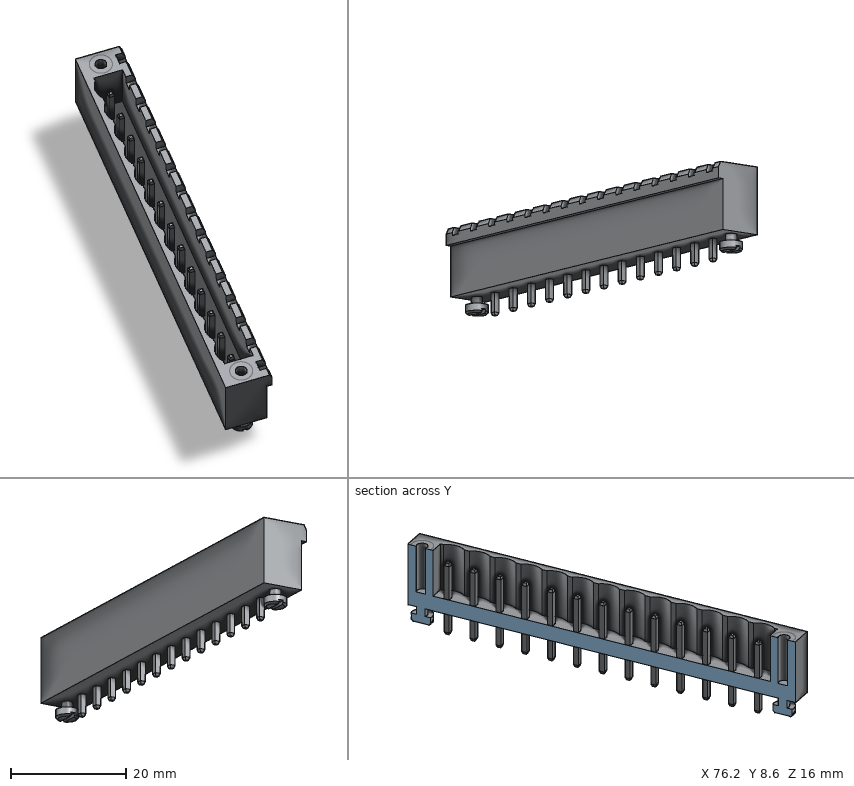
import cadquery as cq

pitch = 5.08
contact_count = 13
contact_xs = [(i - (contact_count - 1) / 2) * pitch for i in range(contact_count)]
flange_x = (contact_count + 1) / 2 * pitch
flange_xs = [-flange_x, flange_x]

length = (contact_count + 2) * pitch
height = 12.0
front_y = -3.8
depth = 8.6
back_y = front_y + depth
lip_overhang = 1.0
lip_height = 3.0
lip_chamfer_y = 0.5
lip_chamfer_z = 1.0

pocket_floor_z = 3.0
pocket_length = 66.2
pocket_front_y = -2.15
pocket_back_y = 3.1
scallop_chord = 4.1
scallop_depth = 0.7

notch_top_width = 2.0
notch_floor_width = 1.5
notch_depth = 1.5

pin_width = 1.0
pin_tail = 4.0
pin_top_z = 10.0
pin_chamfer_length = 0.5
pin_chamfer_inset = 0.2

insert_diameter = 4.0
bore_diameter = 2.0
bore_floor_z = pocket_floor_z
shank_diameter = 2.0
head_diameter = 4.0
head_top_z = -1.4
head_bottom_z = -3.0
head_chamfer = 0.35
slot_width = 0.8
slot_depth = 0.7


def make_housing():
    """Bar with a chamfered lip along the top of its back face."""
    wall_y = back_y - lip_overhang
    profile = (
        cq.Workplane("YZ")
        .moveTo(front_y, 0)
        .lineTo(wall_y, 0)
        .lineTo(wall_y, height - lip_height)
        .lineTo(back_y, height - lip_height)
        .lineTo(back_y, height - lip_chamfer_z)
        .lineTo(back_y - lip_chamfer_y, height)
        .lineTo(front_y, height)
        .close()
    )
    return profile.extrude(length / 2, both=True)


def make_pocket():
    """Open-topped pocket with one shallow scallop in its front wall per contact."""
    half = pocket_length / 2
    outline = (
        cq.Workplane("XY", origin=(0, 0, pocket_floor_z))
        .moveTo(half, pocket_back_y)
        .lineTo(-half, pocket_back_y)
        .lineTo(-half, pocket_front_y)
    )
    for x in contact_xs:
        outline = outline.lineTo(x - scallop_chord / 2, pocket_front_y).threePointArc(
            (x, pocket_front_y - scallop_depth),
            (x + scallop_chord / 2, pocket_front_y),
        )
    return outline.lineTo(half, pocket_front_y).close().extrude(height - pocket_floor_z)


def make_notch(x):
    """Tapered coding notch, open to the back and running forward to the pocket wall."""
    floor_z = height - notch_depth
    return (
        cq.Workplane("XZ", origin=(x, back_y, 0))
        .moveTo(-notch_top_width / 2, height)
        .lineTo(-notch_floor_width / 2, floor_z)
        .lineTo(notch_floor_width / 2, floor_z)
        .lineTo(notch_top_width / 2, height)
        .close()
        .extrude(back_y - pocket_back_y)
    )


def make_pin(x):
    """Square contact pin with a short taper at both ends."""
    tip_width = pin_width - 2 * pin_chamfer_inset
    straight_bottom_z = -pin_tail + pin_chamfer_length
    straight_top_z = pin_top_z - pin_chamfer_length
    pin = (
        cq.Workplane("XY", origin=(x, 0, straight_bottom_z))
        .rect(pin_width, pin_width)
        .extrude(straight_top_z - straight_bottom_z)
    )
    for end_z, taper in ((straight_top_z, pin_chamfer_length), (straight_bottom_z, -pin_chamfer_length)):
        tip = (
            cq.Workplane("XY", origin=(x, 0, end_z))
            .rect(pin_width, pin_width)
            .workplane(offset=taper)
            .rect(tip_width, tip_width)
            .loft()
        )
        pin = pin.union(tip)
    return pin


def make_cylinder(x, diameter, bottom_z, top_z):
    """Upright cylinder on the contact row line."""
    return cq.Workplane("XY", origin=(x, 0, bottom_z)).circle(diameter / 2).extrude(top_z - bottom_z)


def make_insert(x):
    """Bored insert, flush with the top of the housing."""
    sleeve = make_cylinder(x, insert_diameter, bore_floor_z, height)
    return sleeve.cut(make_cylinder(x, bore_diameter, bore_floor_z, height))


def make_screw(x):
    """Slotted cheese-head screw hanging below the housing."""
    head = make_cylinder(x, head_diameter, head_bottom_z, head_top_z).faces("<Z").chamfer(head_chamfer)
    slot = (
        cq.Workplane("XY", origin=(x, 0, head_bottom_z))
        .rect(head_diameter, slot_width)
        .extrude(slot_depth)
    )
    shank = make_cylinder(x, shank_diameter, head_top_z, bore_floor_z)
    return head.cut(slot).union(shank)


result = make_housing().cut(make_pocket())
for notch_x in contact_xs + flange_xs:
    result = result.cut(make_notch(notch_x))
for pin_x in contact_xs:
    result = result.union(make_pin(pin_x))
for screw_x in flange_xs:
    result = result.cut(make_cylinder(screw_x, insert_diameter, bore_floor_z, height))
    result = result.union(make_screw(screw_x))
for insert_x in flange_xs:
    result = result.union(make_insert(insert_x), clean=False)